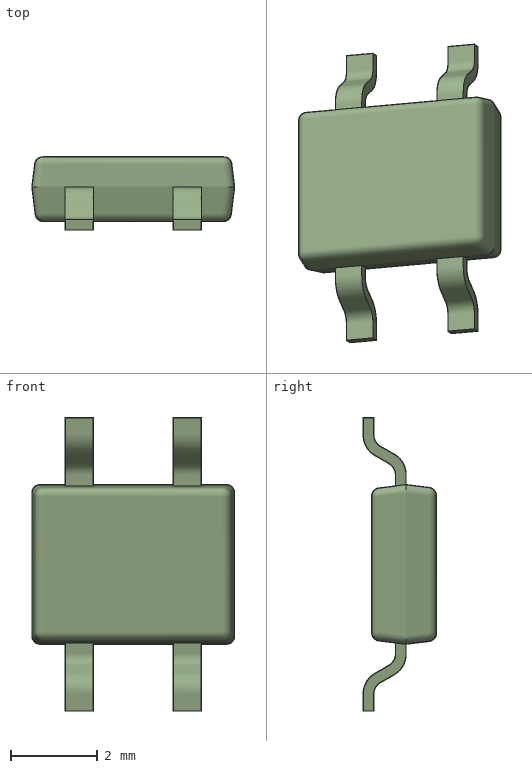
import cadquery as cq
import math

housing_width = 4.7
housing_height = 3.7
front_depth = 0.8
rear_depth = 0.7
draft_angle = 7.0
edge_radius = 0.2

overall_height = 6.8
lead_pitch = 2.5
lead_width = 0.65
lead_thickness = 0.25
lead_reach = 1.0
foot_length = 0.4
bend_inner_radius = 0.3
bend_angle = 60.0
trim_allowance = 0.205

root_y = -lead_thickness / 2
foot_y = lead_thickness / 2 - lead_reach
foot_tip_z = overall_height / 2


def housing_half(depth, toward_rear):
    """Drafted block from the parting plane, rounded on every edge except those on that plane."""
    block = (
        cq.Workplane("XZ")
        .rect(housing_width, housing_height)
        .extrude(depth, taper=draft_angle)
        .edges("not >Y")
        .fillet(edge_radius)
    )
    return block.mirror("XZ") if toward_rear else block


def make_housing():
    """Front and rear halves joined into one solid."""
    front_half = housing_half(front_depth, toward_rear=False)
    rear_half = housing_half(rear_depth, toward_rear=True)
    return front_half.union(rear_half)


def lead_centre_path():
    """Centre line of an upper lead in the YZ plane, from its foot tip down into the housing."""
    angle = math.radians(bend_angle)
    radius = bend_inner_radius + lead_thickness / 2
    bend_y = radius * (1 - math.cos(angle))
    bend_z = radius * math.sin(angle)
    half_bend_y = radius * (1 - math.cos(angle / 2))
    half_bend_z = radius * math.sin(angle / 2)

    slope_y = root_y - foot_y - 2 * bend_y
    slope_z = slope_y / math.tan(angle)
    foot_bend_z = foot_tip_z - foot_length
    slope_top_z = foot_bend_z - bend_z
    slope_bottom_z = slope_top_z - slope_z
    root_bend_z = slope_bottom_z - bend_z

    return (
        cq.Workplane("YZ")
        .moveTo(foot_y, foot_tip_z)
        .lineTo(foot_y, foot_bend_z)
        .threePointArc(
            (foot_y + half_bend_y, foot_bend_z - half_bend_z),
            (foot_y + bend_y, slope_top_z),
        )
        .lineTo(root_y - bend_y, slope_bottom_z)
        .threePointArc(
            (root_y - half_bend_y, root_bend_z + half_bend_z),
            (root_y, root_bend_z),
        )
        .lineTo(root_y, housing_height / 2 - trim_allowance)
    )


def make_lead(side, edge, housing):
    """Lead at the left (-1) or right (+1) side of the lower (-1) or upper (+1) edge."""
    strip = (
        cq.Workplane("XY", origin=(0, foot_y, foot_tip_z))
        .rect(lead_width, lead_thickness)
        .sweep(lead_centre_path())
    )
    if edge < 0:
        strip = strip.mirror("XY")
    return strip.translate((side * lead_pitch / 2, 0, 0)).cut(housing)


housing = make_housing()
leads = [make_lead(side, edge, housing) for side in (-1, 1) for edge in (-1, 1)]

result = cq.Compound.makeCompound([housing.solids().val(), *[lead.solids().val() for lead in leads]])